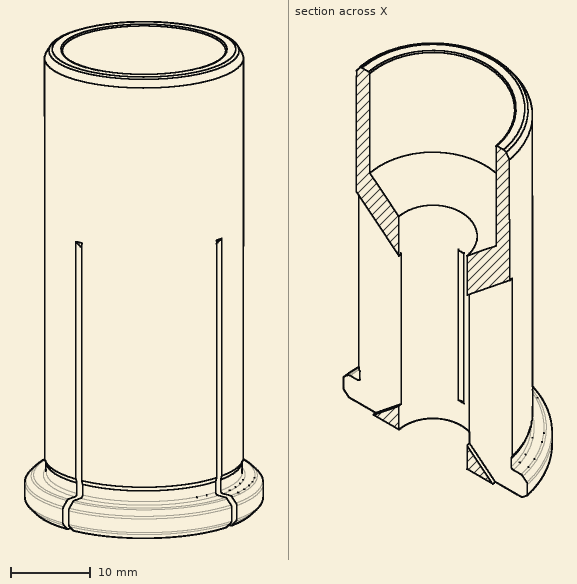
import cadquery as cq
import math

length = 60.0
tube_radius = 25.0 / 2
bore_radius = 20.5 / 2
throat_radius = 11.1 / 2

flange_radius = 15.0
flange_height = 3.95
flange_chamfer = 0.9
flange_edge_round = 0.4

neck_depth = 0.2
neck_top = 5.7
neck_taper_height = 0.55
neck_fillet = 0.35

lead_in_angle = 30.0
lead_in_height = 0.95
lead_in_depth = lead_in_height * math.tan(math.radians(lead_in_angle))
rim_chamfer_depth = lead_in_depth + 0.4
rim_chamfer_height = lead_in_height + 0.2

bore_mouth_chamfer = 0.2

funnel_bottom = 37.55
funnel_depth = bore_radius - throat_radius

slot_width = 0.95
slot_top = 37.55
slot_foot = 4.2
slot_count = 4
slot_overrun = 0.6


def make_flange():
    """Flange disc with chamfered and softened rims."""
    flange = cq.Workplane("XY").circle(flange_radius).extrude(flange_height)
    flange = flange.faces("<Z or >Z").chamfer(flange_chamfer)
    middle_height = flange_height / 2
    selection_margin = 0.05
    wall_half = middle_height - flange_chamfer
    rim_edges = cq.selectors.BoxSelector(
        (-2 * flange_radius, -2 * flange_radius, middle_height - wall_half - selection_margin),
        (2 * flange_radius, 2 * flange_radius, middle_height + wall_half + selection_margin),
    )
    flange = flange.edges("%CIRCLE").edges(rim_edges).fillet(flange_edge_round)
    return flange.faces(">Z").edges().fillet(flange_edge_round)


def make_tube():
    """Tube with a shallow neck above the flange and a tapered, softened rim."""
    neck_radius = tube_radius - neck_depth
    arc_offset = neck_fillet * (1 - math.sqrt(0.5))
    return (
        cq.Workplane("XZ")
        .lineTo(neck_radius + neck_fillet, 0)
        .lineTo(neck_radius + neck_fillet, flange_height)
        .threePointArc(
            (neck_radius + arc_offset, flange_height + arc_offset),
            (neck_radius, flange_height + neck_fillet),
        )
        .lineTo(neck_radius, neck_top)
        .lineTo(tube_radius, neck_top + neck_taper_height)
        .lineTo(tube_radius, length - rim_chamfer_height)
        .lineTo(tube_radius - lead_in_depth, length - rim_chamfer_height + lead_in_height)
        .lineTo(tube_radius - rim_chamfer_depth, length)
        .lineTo(0, length)
        .close()
        .revolve(360, (0, 0, 0), (0, 1, 0))
    )


def make_bore():
    """Wide upper bore, 45 degree funnel and narrow throat."""
    return (
        cq.Workplane("XZ")
        .lineTo(throat_radius, 0)
        .lineTo(throat_radius, funnel_bottom)
        .lineTo(bore_radius, funnel_bottom + funnel_depth)
        .lineTo(bore_radius, length - bore_mouth_chamfer)
        .lineTo(bore_radius + bore_mouth_chamfer, length)
        .lineTo(0, length)
        .close()
        .revolve(360, (0, 0, 0), (0, 1, 0))
    )


def make_slot():
    """Slot along +X with 45 degree ends spreading outward from the throat."""
    outside = flange_radius + slot_overrun
    foot_radius = throat_radius + slot_foot
    profile = [
        (0, slot_foot + throat_radius),
        (foot_radius + slot_overrun, -slot_overrun),
        (outside, -slot_overrun),
        (outside, slot_top + outside - tube_radius),
        (0, slot_top - tube_radius),
    ]
    return cq.Workplane("XZ").polyline(profile).close().extrude(slot_width / 2, both=True)


result = make_flange().union(make_tube()).cut(make_bore())
slot = make_slot()
for index in range(slot_count):
    result = result.cut(slot.rotate((0, 0, 0), (0, 0, 1), index * 360 / slot_count))